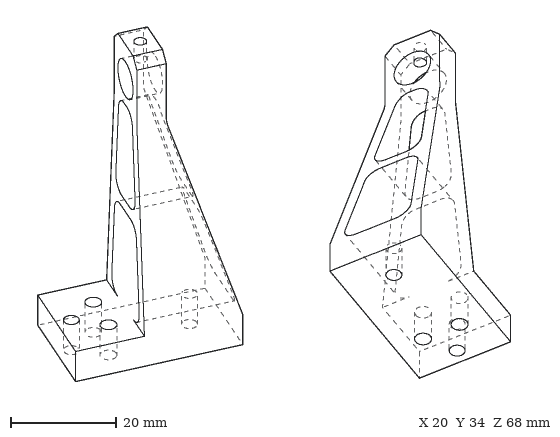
import cadquery as cq
import math

BASE_WIDTH = 20.0
BASE_LENGTH = 34.0
BASE_THICKNESS = 7.0

TOTAL_HEIGHT = 68.0
UPRIGHT_FRONT_Y = 14.0
HEAD_WIDTH = 12.0
HEAD_DEPTH = 6.0
HEAD_CHAMFER = 2.0
SIDE_KNEE_Z = 53.3
BACK_KNEE_Z = 52.5
KNEE_RADIUS = 7.0

WALL_THICKNESS = 2.5
WINDOW_TOP_Z = 54.0
WINDOW_RADIUS = 3.0

BORE_DIAMETER = 8.0
BORE_DROP = 8.0
SET_SCREW_DIAMETER = 2.46
SCREW_DIAMETER = 3.2
SCREW_SPACING = 8.0
SCREW_Y = 9.0
DOWEL_DIAMETER = 3.0
DOWEL_FRONT_Y = 3.0
DOWEL_SPACING = 24.0

HEAD_BACK_Y = UPRIGHT_FRONT_Y + HEAD_DEPTH
HEAD_MID_Y = UPRIGHT_FRONT_Y + HEAD_DEPTH / 2
BORE_Z = TOTAL_HEIGHT - BORE_DROP
SIDE_SLOPE = (BASE_WIDTH - HEAD_WIDTH) / 2 / (SIDE_KNEE_Z - BASE_THICKNESS)


def make_base():
    return cq.Workplane("XY").box(
        BASE_WIDTH, BASE_LENGTH, BASE_THICKNESS, centered=(True, False, False)
    )


def extrude_along_y(outline):
    """Extrude a closed (x, z) outline from Y = 0 to the back of the base."""
    return outline.close().extrude(-BASE_LENGTH)


def knee_arc(knee_offset, knee_z, foot_offset):
    """Tangent arc joining a tapered face to the vertical head face above it.

    Offsets are horizontal positions of the knee and of the foot of the taper.
    Returns the arc's lower end, middle and upper end.
    """
    run = foot_offset - knee_offset
    rise = knee_z - BASE_THICKNESS
    taper = math.atan2(run, rise)
    tangent_length = KNEE_RADIUS * math.tan(taper / 2)
    center_offset = knee_offset + KNEE_RADIUS
    upper_z = knee_z + tangent_length

    def point_on_arc(angle):
        return (center_offset - KNEE_RADIUS * math.cos(angle), upper_z - KNEE_RADIUS * math.sin(angle))

    return point_on_arc(taper), point_on_arc(taper / 2), point_on_arc(0)


def mirrored(point):
    return (-point[0], point[1])


def make_front_shape():
    """Upright outline in X and Z: tapered sides, knee arcs and a chamfered head."""
    half_base = BASE_WIDTH / 2
    half_head = HEAD_WIDTH / 2
    half_top = half_head - HEAD_CHAMFER
    chamfer_z = TOTAL_HEIGHT - HEAD_CHAMFER
    lower, middle, upper = knee_arc(half_head, SIDE_KNEE_Z, half_base)
    outline = (
        cq.Workplane("XZ")
        .moveTo(-half_base, BASE_THICKNESS)
        .lineTo(half_base, BASE_THICKNESS)
        .lineTo(*lower)
        .threePointArc(middle, upper)
        .lineTo(half_head, chamfer_z)
        .lineTo(half_top, TOTAL_HEIGHT)
        .lineTo(-half_top, TOTAL_HEIGHT)
        .lineTo(-half_head, chamfer_z)
        .lineTo(*mirrored(upper))
        .threePointArc(mirrored(middle), mirrored(lower))
    )
    return extrude_along_y(outline)


def make_side_shape():
    """Upright outline in Y and Z: flat front, sloping back and a knee arc."""
    lower, middle, upper = knee_arc(HEAD_BACK_Y, BACK_KNEE_Z, BASE_LENGTH)
    return (
        cq.Workplane("YZ")
        .moveTo(UPRIGHT_FRONT_Y, BASE_THICKNESS)
        .lineTo(BASE_LENGTH, BASE_THICKNESS)
        .lineTo(*lower)
        .threePointArc(middle, upper)
        .lineTo(HEAD_BACK_Y, TOTAL_HEIGHT)
        .lineTo(UPRIGHT_FRONT_Y, TOTAL_HEIGHT)
        .close()
        .extrude(BASE_WIDTH / 2, both=True)
    )


def make_upright():
    return make_front_shape().intersect(make_side_shape())


def window_half_width(z):
    """Half width at height z that leaves side walls of constant thickness."""
    outer_half_width = BASE_WIDTH / 2 - SIDE_SLOPE * (z - BASE_THICKNESS)
    return outer_half_width - WALL_THICKNESS * math.hypot(1, SIDE_SLOPE)


def make_window(bottom_z, top_z):
    bottom = window_half_width(bottom_z)
    top = window_half_width(top_z)
    corners = [(-bottom, bottom_z), (bottom, bottom_z), (top, top_z), (-top, top_z)]
    outline = cq.Workplane("XZ").polyline(corners)
    return extrude_along_y(outline).edges("|Y").fillet(WINDOW_RADIUS)


def make_windows():
    """Two windows of equal height, separated by a rib as thick as the walls."""
    rib_mid_z = (BASE_THICKNESS + WINDOW_TOP_Z) / 2
    lower = make_window(BASE_THICKNESS, rib_mid_z - WALL_THICKNESS / 2)
    upper = make_window(rib_mid_z + WALL_THICKNESS / 2, WINDOW_TOP_Z)
    return lower.union(upper)


def make_bore():
    return cq.Workplane("XZ").center(0, BORE_Z).circle(BORE_DIAMETER / 2).extrude(-BASE_LENGTH)


def make_set_screw_hole():
    """Vertical hole from the top face into the bore."""
    return (
        cq.Workplane("XY", origin=(0, HEAD_MID_Y, BORE_Z))
        .circle(SET_SCREW_DIAMETER / 2)
        .extrude(BORE_DROP)
    )


def make_base_holes(diameter, places):
    return cq.Workplane("XY").pushPoints(places).circle(diameter / 2).extrude(BASE_THICKNESS)


screw_places = [(side * SCREW_SPACING / 2, SCREW_Y) for side in (-1, 1)]
dowel_places = [(0, DOWEL_FRONT_Y), (0, DOWEL_FRONT_Y + DOWEL_SPACING)]

upright = make_upright().cut(make_windows()).cut(make_bore()).cut(make_set_screw_hole())
base = (
    make_base()
    .cut(make_base_holes(SCREW_DIAMETER, screw_places))
    .cut(make_base_holes(DOWEL_DIAMETER, dowel_places))
)
result = base.union(upright)